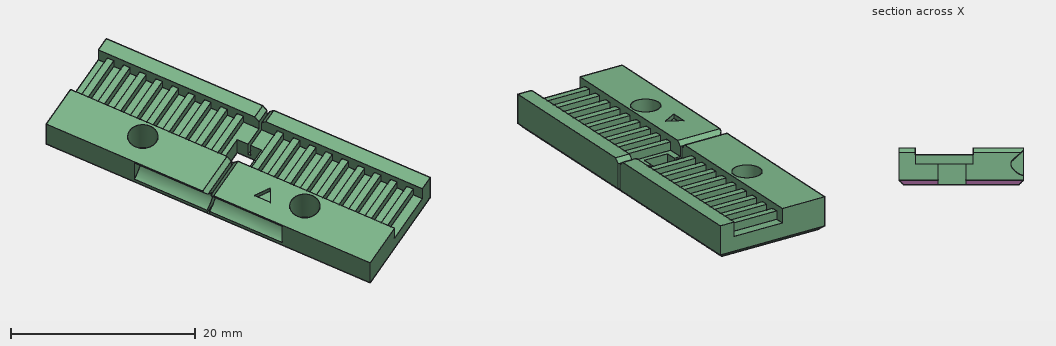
import cadquery as cq
import math

LENGTH = 40.0
WIDTH = 13.5
HEIGHT = 4.0
EDGE_CHAMFER = 0.5
FRONT_Y = -WIDTH / 2
BACK_Y = WIDTH / 2

BACK_RAIL_WIDTH = 1.8
CHANNEL_WIDTH = 6.25
CHANNEL_DEPTH = 1.7
RIB_TOP_DROP = 0.7
RIB_WIDTH = 0.8
RIB_PITCH = 2.0
FIRST_RIB_X = 2.5
RIBS_PER_SIDE = 9

SLIT_WIDTH = 0.3
SLIT_FLOOR_Z = 0.5
SLIT_CHAMFER = 0.5

WINDOW_SIZE = 3.0
WINDOW_Y = 1.0
HOLE_DIAMETER = 3.3
HOLE_X = 10.0
HOLE_Y = FRONT_Y + 3.5

RECESS_LENGTH = 18.25
RECESS_BOTTOM_Z = 1.0
RECESS_TOP_Z = 3.8
RECESS_DEPTH = 1.4
RECESS_DEEPEST_Z = 2.3
RECESS_FLANK_DEPTH = 0.9
RECESS_FLOOR_Z = 1.5
RECESS_ROOF_Z = 2.95

MARK_SIDE = 2.0
MARK_X = 5.5
MARK_BASE_Y = FRONT_Y + 2.15
MARK_DEPTH = 0.5

channel_y = BACK_Y - BACK_RAIL_WIDTH - CHANNEL_WIDTH / 2
channel_floor_z = HEIGHT - CHANNEL_DEPTH


def make_plate():
    plate = cq.Workplane("XY").box(LENGTH, WIDTH, HEIGHT, centered=(True, True, False))
    return plate.faces("<Z").edges().chamfer(EDGE_CHAMFER)


def make_channel():
    plane = cq.Workplane("XY", origin=(0, channel_y, channel_floor_z))
    return plane.rect(LENGTH, CHANNEL_WIDTH).extrude(CHANNEL_DEPTH)


def make_ribs():
    centers = []
    for index in range(RIBS_PER_SIDE):
        x = FIRST_RIB_X + index * RIB_PITCH
        centers += [(-x, 0), (x, 0)]
    plane = cq.Workplane("XY", origin=(0, channel_y, channel_floor_z))
    return plane.pushPoints(centers).rect(RIB_WIDTH, CHANNEL_WIDTH).extrude(CHANNEL_DEPTH - RIB_TOP_DROP)


def make_slit():
    half_width = SLIT_WIDTH / 2
    half_mouth = half_width + SLIT_CHAMFER
    chamfer_z = HEIGHT - SLIT_CHAMFER
    outline = [
        (-half_width, SLIT_FLOOR_Z),
        (half_width, SLIT_FLOOR_Z),
        (half_width, chamfer_z),
        (half_mouth, HEIGHT),
        (-half_mouth, HEIGHT),
        (-half_width, chamfer_z),
    ]
    return cq.Workplane("XZ").polyline(outline).close().extrude(WIDTH / 2, both=True)


def make_window():
    return cq.Workplane("XY").center(0, WINDOW_Y).rect(WINDOW_SIZE, WINDOW_SIZE).extrude(HEIGHT)


def make_holes():
    centers = [(-HOLE_X, HOLE_Y), (HOLE_X, HOLE_Y)]
    return cq.Workplane("XY").pushPoints(centers).circle(HOLE_DIAMETER / 2).extrude(HEIGHT)


def make_front_recess():
    flank_y = FRONT_Y + RECESS_FLANK_DEPTH
    curve = [
        (FRONT_Y, RECESS_BOTTOM_Z),
        (flank_y, RECESS_FLOOR_Z),
        (FRONT_Y + RECESS_DEPTH, RECESS_DEEPEST_Z),
        (flank_y, RECESS_ROOF_Z),
        (FRONT_Y, RECESS_TOP_Z),
    ]
    return cq.Workplane("YZ").spline(curve).close().extrude(RECESS_LENGTH / 2, both=True)


def make_mark():
    apex_y = MARK_SIDE * math.sqrt(3) / 2
    outline = [(-MARK_SIDE / 2, 0), (MARK_SIDE / 2, 0), (0, apex_y)]
    plane = cq.Workplane("XY", origin=(MARK_X, MARK_BASE_Y, HEIGHT - MARK_DEPTH))
    return plane.polyline(outline).close().extrude(MARK_DEPTH)


result = (
    make_plate()
    .cut(make_channel())
    .union(make_ribs())
    .cut(make_slit())
    .cut(make_window())
    .cut(make_holes())
    .cut(make_front_recess())
    .cut(make_mark())
)